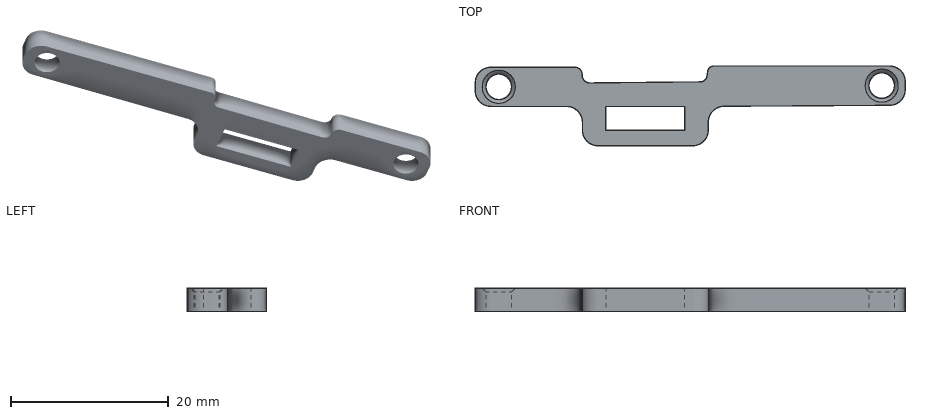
import cadquery as cq

length = 54.6
thickness = 3.0
arm_width = 5.0
left_arm_top = 10.0
left_arm_bottom = left_arm_top - arm_width
right_arm_rise = 0.15
right_arm_top = left_arm_top + right_arm_rise
right_arm_bottom = left_arm_bottom + right_arm_rise

pad_left = 13.6
pad_width = 16.0
pad_right = pad_left + pad_width
recess_depth = 2.0
step_lean = 0.3
window_length = 10.0
window_width = 3.0
window_bottom = 2.0

corner_radius = 2.0
step_radius = 0.95
right_step_radius = 0.8

hole_diameter = 3.2
countersink_diameter = 4.2
countersink_angle = 90.0
hole_end_distance = 3.0
hole_centers = [
    (hole_end_distance, left_arm_top - arm_width / 2),
    (length - hole_end_distance, right_arm_top - arm_width / 2),
]


def round_corners(body, corners, radius):
    """Round the upright edges standing at the given outline corners."""
    margin = 0.01
    for x, y in corners:
        selector = cq.selectors.BoxSelector(
            (x - margin, y - margin, -margin),
            (x + margin, y + margin, thickness + margin),
        )
        body = body.edges("|Z").edges(selector).fillet(radius)
    return body


def make_plate():
    """Arms, pad and recess as one plate with rounded corners."""
    left_end = [(0, left_arm_top), (0, left_arm_bottom)]
    pad = [
        (pad_left, left_arm_bottom),
        (pad_left, 0),
        (pad_right, 0),
        (pad_right, left_arm_bottom),
    ]
    right_end = [(length, right_arm_bottom), (length, right_arm_top)]
    right_step = [
        (pad_right, right_arm_top),
        (pad_right - step_lean, right_arm_top - recess_depth),
    ]
    left_step = [(pad_left, left_arm_top - recess_depth), (pad_left, left_arm_top)]

    outline = left_end + pad + right_end + right_step + left_step
    plate = cq.Workplane("XY").polyline(outline).close().extrude(thickness)
    plate = round_corners(plate, left_end + pad + right_end, corner_radius)
    plate = round_corners(plate, left_step, step_radius)
    return round_corners(plate, right_step, right_step_radius)


def cut_window(body):
    """Cut the rectangular window through the pad."""
    window = (
        cq.Workplane("XY")
        .center((pad_left + pad_right) / 2, window_bottom + window_width / 2)
        .rect(window_length, window_width)
        .extrude(thickness)
    )
    return body.cut(window)


def cut_screw_holes(body):
    """Drill and countersink a hole from above at each arm end."""
    return (
        body.faces(">Z")
        .workplane(origin=(0, 0, thickness))
        .pushPoints(hole_centers)
        .cskHole(hole_diameter, countersink_diameter, countersink_angle)
    )


result = cut_screw_holes(cut_window(make_plate()))